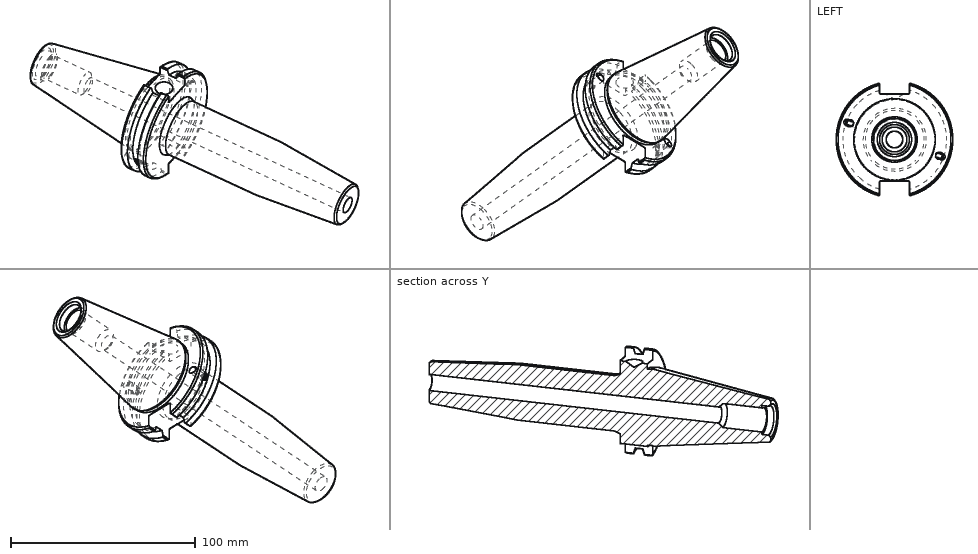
import cadquery as cq
import math

length = 198.2
taper_length = 68.4
taper_large_diameter = 44.5
taper_ratio = 7 / 24
taper_small_radius = (taper_large_diameter - taper_length * taper_ratio) / 2
shank_chamfer = 0.8
relief_diameter = 43.6
relief_chamfer_length = 1.0

flange_start = 71.4
flange_width = 16.0
flange_diameter = 63.5
flange_chamfer = 1.0
groove_center = 79.5
groove_floor_width = 4.4
groove_mouth_width = 6.7
groove_diameter = 56.3

body_diameter = 32.0
nose_start = 147.1
nose_end_diameter = 24.2
nose_chamfer = 1.0
collar_length = 3.2
collar_height = 1.2

entry_diameter = 18.6
counterbore_diameter = 16.3
counterbore_depth = 5.0
bore_diameter = 13.5
bore_depth = 27.8
through_diameter = 9.0

slot_width = 16.0
slot_floor_fillet = 0.5
slot_mouth_chamfer = 0.5
upper_slot_floor = 24.8
lower_slot_floor = 22.6
dimple_center = 79.3
dimple_diameter = 9.5
drill_point_angle = 118.0

coolant_angle = 20.0
axial_hole_diameter = 4.0
axial_hole_radius = 26.0
notch_diameter = 3.2
notch_radius = 27.5
notch_depth = 2.0
radial_hole_diameter = 2.4
radial_floor_radius = 23.8
spotface_diameter = 4.2
spotface_depth = 0.8


def revolved(profile):
    """Revolve a closed (axial, radial) profile about the X axis."""
    return cq.Workplane("XY").polyline(profile).close().revolve(360, (0, 0, 0), (1, 0, 0))


def drill_point_depth(diameter):
    return diameter / 2 / math.tan(math.radians(drill_point_angle / 2))


def outer_body():
    flange_end = flange_start + flange_width
    flange_radius = flange_diameter / 2
    body_radius = body_diameter / 2
    profile = [
        (0, 0),
        (0, taper_small_radius - shank_chamfer),
        (shank_chamfer, taper_small_radius + shank_chamfer * taper_ratio / 2),
        (taper_length, taper_large_diameter / 2),
        (taper_length + relief_chamfer_length, relief_diameter / 2),
        (flange_start, relief_diameter / 2),
        (flange_start, flange_radius - flange_chamfer),
        (flange_start + flange_chamfer, flange_radius),
        (groove_center - groove_mouth_width / 2, flange_radius),
        (groove_center - groove_floor_width / 2, groove_diameter / 2),
        (groove_center + groove_floor_width / 2, groove_diameter / 2),
        (groove_center + groove_mouth_width / 2, flange_radius),
        (flange_end - flange_chamfer, flange_radius),
        (flange_end, flange_radius - flange_chamfer),
        (flange_end, body_radius + collar_height),
        (flange_end + collar_length, body_radius),
        (nose_start, body_radius),
        (length - nose_chamfer, nose_end_diameter / 2),
        (length, nose_end_diameter / 2 - nose_chamfer),
        (length, 0),
    ]
    return revolved(profile)


def stepped_bore():
    entry_chamfer = (entry_diameter - counterbore_diameter) / 2
    cone_end = bore_depth + (bore_diameter - through_diameter) / 2
    profile = [
        (0, 0),
        (0, entry_diameter / 2),
        (entry_chamfer, counterbore_diameter / 2),
        (counterbore_depth, counterbore_diameter / 2),
        (counterbore_depth, bore_diameter / 2),
        (bore_depth, bore_diameter / 2),
        (cone_end, through_diameter / 2),
        (length, through_diameter / 2),
        (length, 0),
    ]
    return revolved(profile)


def drive_slot(floor, side):
    """Slot through the flange, above (+1) or below (-1) the axis, with eased mouth edges."""
    half_width = slot_width / 2
    mouth_half_width = half_width + slot_mouth_chamfer
    flange_radius = flange_diameter / 2
    chamfer_start = math.sqrt(flange_radius**2 - mouth_half_width**2) - slot_mouth_chamfer
    section = [
        (half_width, floor),
        (half_width, chamfer_start),
        (half_width + flange_radius - chamfer_start, flange_radius),
    ]
    mirrored = [(-y, z) for y, z in reversed(section)]
    slot = (
        cq.Workplane("YZ", origin=(flange_start, 0, 0))
        .polyline(section + mirrored)
        .close()
        .extrude(flange_width)
        .faces("<Z")
        .edges("|X")
        .fillet(slot_floor_fillet)
    )
    return slot if side > 0 else slot.mirror("XY")


def dimple():
    """Conical recess in the floor of the upper drive slot."""
    depth = drill_point_depth(dimple_diameter)
    cone = cq.Solid.makeCone(
        dimple_diameter / 2, 0, depth, cq.Vector(dimple_center, 0, upper_slot_floor), cq.Vector(0, 0, -1)
    )
    return cq.Workplane(cone)


def drilled(diameter, start, direction, depth):
    return cq.Workplane(cq.Solid.makeCylinder(diameter / 2, depth, start, direction))


def cut_coolant_passage(part, angle):
    """Notched axial hole in the flange face, met by a spotfaced radial hole in the groove."""
    outward = cq.Vector(0, math.cos(math.radians(angle)), math.sin(math.radians(angle)))
    along_axis = cq.Vector(1, 0, 0)
    face_center = along_axis * flange_start
    radial_top = along_axis * groove_center + outward * (flange_diameter / 2)
    spotface_floor_radius = groove_diameter / 2 - spotface_depth
    axial_depth = groove_center - flange_start
    tools = [
        (axial_hole_diameter, face_center + outward * axial_hole_radius, along_axis, axial_depth),
        (notch_diameter, face_center + outward * notch_radius, along_axis, notch_depth),
        (spotface_diameter, radial_top, outward * -1, flange_diameter / 2 - spotface_floor_radius),
        (radial_hole_diameter, radial_top, outward * -1, flange_diameter / 2 - radial_floor_radius),
    ]
    for diameter, start, direction, depth in tools:
        part = part.cut(drilled(diameter, start, direction, depth))
    return part


result = outer_body().cut(stepped_bore())
result = result.cut(drive_slot(upper_slot_floor, 1)).cut(drive_slot(lower_slot_floor, -1))
result = result.cut(dimple())
for angle in (coolant_angle, coolant_angle + 180):
    result = cut_coolant_passage(result, angle)